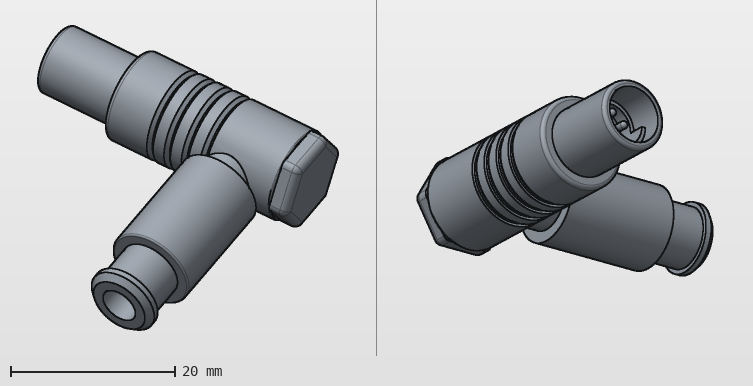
import cadquery as cq
import math

length = 37.3

plug_radius = 4.5
plug_length = 10.78
plug_rounding = 0.5

socket_radius = 3.6
shell_inner_radius = 3.1
lower_shell_depth = 2.65
upper_shell_depth = 5.0
floor_depth = 7.0

pin_count = 5
first_pin_angle = 90
pin_radius = 0.5
pin_circle_radius = 1.8
pin_height = 3.0

body_radius = 6.0
body_end = 34.85
body_front_rounding = 0.52
body_back_rounding = 0.22
groove_count = 4
groove_pitch = 2.5
groove_depth = 0.37
groove_ramp = 0.55
groove_floor = 0.37
first_groove_start = 16.97

cap_sides = 6
cap_across_flats = 11.0
cap_rounding = 1.0

arm_x = 28.0
neck_radius = 3.95
sleeve_radius = 5.45
sleeve_start = 6.98
sleeve_end = 22.25
sleeve_rounding = 0.22
flange_radius = 4.55
flange_start = 27.65
arm_end = 29.25
flange_chamfer = 0.82
bore_radius = 2.35


def x_cylinder(radius, start, end):
    return cq.Workplane("YZ", origin=(start, 0, 0)).circle(radius).extrude(end - start)


def arm_cylinder(radius, start, end):
    return cq.Workplane("XZ", origin=(arm_x, -start, 0)).circle(radius).extrude(end - start)


def groove(start):
    """Ring cut with a ramp on the front side and a square wall on the back side."""
    floor_radius = body_radius - groove_depth
    floor_start = start + groove_ramp
    wall = floor_start + groove_floor
    profile = [(start, body_radius), (floor_start, floor_radius), (wall, floor_radius), (wall, body_radius)]
    return cq.Workplane("XY").polyline(profile).close().revolve(360, (0, 0, 0), (1, 0, 0))


def make_body():
    body = x_cylinder(body_radius, plug_length, body_end)
    body = body.faces("<X").edges().fillet(body_front_rounding)
    body = body.faces(">X").edges().fillet(body_back_rounding)
    for index in range(groove_count):
        body = body.cut(groove(first_groove_start + index * groove_pitch))
    return body


def make_plug():
    plug = x_cylinder(plug_radius, 0, plug_length)
    plug = plug.faces("<X").edges().fillet(plug_rounding)
    upper_half = cq.Workplane("XY").box(length, 2 * plug_radius, plug_radius, centered=(False, True, False))
    plug = plug.cut(x_cylinder(socket_radius, 0, lower_shell_depth))
    plug = plug.cut(x_cylinder(socket_radius, 0, upper_shell_depth).intersect(upper_half))
    return plug.cut(x_cylinder(shell_inner_radius, 0, floor_depth))


def make_pins():
    """Round-ended pins standing on the floor of the socket."""
    tip_center = floor_depth - pin_height + pin_radius
    pins = cq.Workplane("XY")
    for index in range(pin_count):
        angle = math.radians(first_pin_angle + index * 360 / pin_count)
        y = pin_circle_radius * math.cos(angle)
        z = pin_circle_radius * math.sin(angle)
        shank = x_cylinder(pin_radius, tip_center, floor_depth)
        tip = cq.Workplane("XY", origin=(tip_center, 0, 0)).sphere(pin_radius)
        pins = pins.union(shank.union(tip).translate((0, y, z)))
    return pins


def make_cap():
    across_corners = cap_across_flats / math.cos(math.pi / cap_sides)
    end_plane = cq.Workplane("YZ", origin=(body_end, 0, 0))
    cap = end_plane.polygon(cap_sides, across_corners).extrude(length - body_end)
    return cap.edges("|X or >X").fillet(cap_rounding)


def make_arm():
    arm = arm_cylinder(neck_radius, 0, flange_start)
    sleeve = arm_cylinder(sleeve_radius, sleeve_start, sleeve_end)
    arm = arm.union(sleeve.faces("<Y").edges().fillet(sleeve_rounding))
    flange = arm_cylinder(flange_radius, flange_start, arm_end)
    arm = arm.union(flange.faces("<Y").edges().chamfer(flange_chamfer))
    return arm.cut(arm_cylinder(bore_radius, 0, arm_end))


result = make_body().union(make_plug()).union(make_pins()).union(make_cap()).union(make_arm())